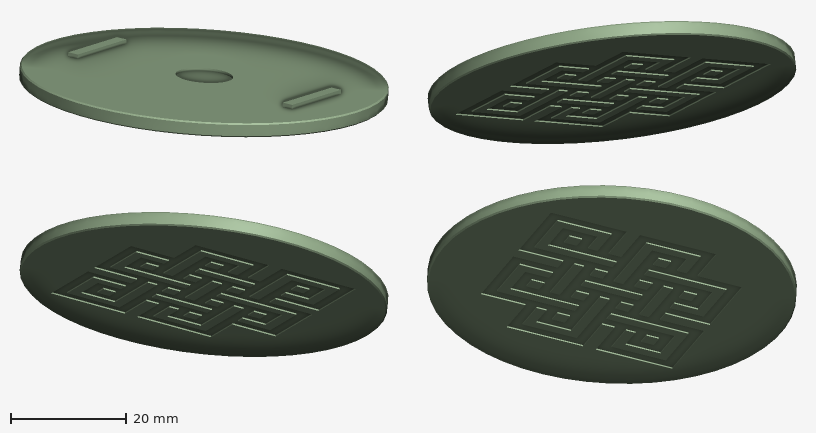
import cadquery as cq
plate_diameter = 64.0
plate_thickness = 2.5
plate_chamfer = 0.25
plate_tilt = 6.5

recess_diameter = 10.0
recess_depth = 0.5

rail_width = 2.0
rail_length = 15.0
rail_height = 0.8
rail_offset = 22.5

strand_pitch = 8.38
strand_width = 1.8
groove_width = 2.1
groove_depth = 0.26
weave_angle = 45.0

ring_centers = [(3, -3), (1, -1), (-1, 1), (-3, 3), (3, 1), (1, 3), (-1, -3), (-3, -1)]
unit = strand_pitch / 2
groove_spacing = strand_width + groove_width
outer_half = unit + groove_spacing / 2
inner_half = unit - groove_spacing / 2
SIDES = (-1, 1)


def make_plate():
    plate = cq.Workplane("XY").circle(plate_diameter / 2).extrude(plate_thickness)
    return plate.faces("<Z or >Z").edges().chamfer(plate_chamfer)


def make_recess():
    floor = cq.Workplane("XY").workplane(offset=plate_thickness - recess_depth)
    return floor.circle(recess_diameter / 2).extrude(recess_depth)


def make_rails():
    top = cq.Workplane("XY").workplane(offset=plate_thickness)
    spots = [(side * rail_offset, 0) for side in SIDES]
    return top.pushPoints(spots).rect(rail_width, rail_length).extrude(rail_height)


def groove(start, end, across, along_v):
    """Straight groove whose centerline runs from start to end, along U or along V."""
    length = end - start + groove_width
    middle = (start + end) / 2
    size, spot = (length, groove_width), (middle, across)
    if along_v:
        size, spot = size[::-1], spot[::-1]
    return cq.Workplane("XY").center(*spot).rect(*size).extrude(groove_depth).val()


def runs_through(center, corner, along_v):
    """Tell whether the outer groove in this direction runs through a ring corner.

    A free corner keeps the grooves of both directions. Where two rings share a corner,
    only those along the upper strand stay, and the upper direction alternates.
    """
    partner = tuple(2 * at_corner - at_center for at_corner, at_center in zip(corner, center))
    if partner not in ring_centers:
        return True
    v_strand_on_top = sum(corner) % 4 == 0
    return v_strand_on_top == along_v


def ring_grooves(center):
    """Inner and outer grooves of one ring, a pair for each of its four sides."""
    bars = []
    for along_v in (False, True):
        run, cross = center[::-1] if along_v else center
        for side in SIDES:
            ends = []
            for end in SIDES:
                corner = (run + end, cross + side)
                if along_v:
                    corner = corner[::-1]
                reach = outer_half if runs_through(center, corner, along_v) else inner_half
                ends.append(run * unit + end * reach)
            bars.append(groove(*ends, cross * unit + side * outer_half, along_v))

            inner_ends = [run * unit + end * inner_half for end in SIDES]
            bars.append(groove(*inner_ends, cross * unit + side * inner_half, along_v))
    return bars


def make_weave():
    bars = [bar for center in ring_centers for bar in ring_grooves(center)]
    weave = cq.Workplane(bars[0].fuse(*bars[1:]).clean())
    return weave.rotate((0, 0, 0), (0, 0, 1), -weave_angle)


body = make_plate().cut(make_recess()).union(make_rails()).cut(make_weave())
result = body.rotate((0, 0, 0), (1, 0, 0), -plate_tilt)